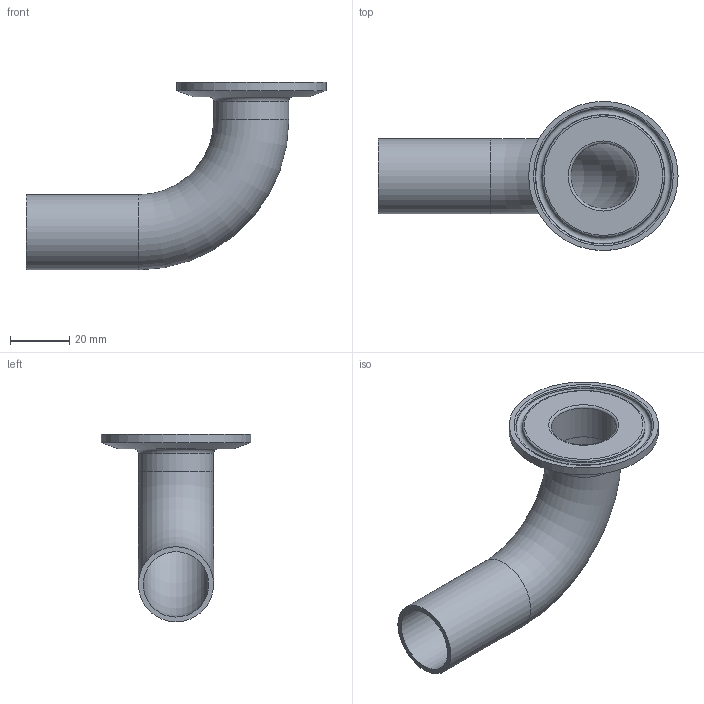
import cadquery as cq
import math


tube_radius = 12.7
wall = 1.65
bore_radius = tube_radius - wall
bend_radius = 38.1
straight_length = 38.1

ferrule_length = 12.7
joint_z = bend_radius
face_z = joint_z + ferrule_length
flange_radius = 25.25
rim_thickness = 2.85
flange_thickness = 5.0
cone_angle = math.radians(20)
cone_foot_radius = flange_radius - (flange_thickness - rim_thickness) / math.tan(cone_angle)
neck_fillet = 1.5
bore_edge_fillet = 0.8

groove_radius = 21.85
groove_depth = 1.75
groove_bottom_radius = 1.1
groove_lip_radius = 0.6
groove_wall_angle = math.radians(75)


def make_elbow():
    """Straight leg along X followed by a quarter bend up to the ferrule joint."""
    path = (
        cq.Workplane("XZ")
        .moveTo(-bend_radius - straight_length, 0)
        .lineTo(-bend_radius, 0)
        .radiusArc((0, bend_radius), -bend_radius)
    )
    start = cq.Workplane("YZ", origin=(-bend_radius - straight_length, 0, 0))
    return start.circle(tube_radius).circle(bore_radius).sweep(path)


def make_ferrule_blank():
    """Neck and coned flange, revolved about Z, with the neck and bore edges rounded."""
    rim_z = face_z - rim_thickness
    foot_z = face_z - flange_thickness
    diagonal = math.sqrt(0.5)
    neck_fillet_radius = tube_radius + neck_fillet
    neck_fillet_z = foot_z - neck_fillet
    bore_fillet_radius = bore_radius + bore_edge_fillet
    bore_fillet_z = face_z - bore_edge_fillet
    neck_mid = (
        neck_fillet_radius - neck_fillet * diagonal,
        neck_fillet_z + neck_fillet * diagonal,
    )
    bore_mid = (
        bore_fillet_radius - bore_edge_fillet * diagonal,
        bore_fillet_z + bore_edge_fillet * diagonal,
    )
    return (
        cq.Workplane("XZ")
        .moveTo(bore_radius, joint_z)
        .lineTo(tube_radius, joint_z)
        .lineTo(tube_radius, neck_fillet_z)
        .threePointArc(neck_mid, (neck_fillet_radius, foot_z))
        .lineTo(cone_foot_radius, foot_z)
        .lineTo(flange_radius, rim_z)
        .lineTo(flange_radius, face_z)
        .lineTo(bore_fillet_radius, face_z)
        .threePointArc(bore_mid, (bore_radius, bore_fillet_z))
        .close()
        .revolve(360, (0, 0, 0), (0, 1, 0))
    )


def make_groove():
    """Ring to cut: round bottom, steep walls and rounded lips meeting the face."""
    bottom_half = groove_bottom_radius * math.sin(groove_wall_angle)
    bottom_depth = groove_depth - groove_bottom_radius * (1 - math.cos(groove_wall_angle))
    mouth_half = bottom_half + bottom_depth / math.tan(groove_wall_angle)
    lip_half = mouth_half + groove_lip_radius * math.tan(groove_wall_angle / 2)

    def groove_point(side, half_width, depth):
        return (groove_radius + side * half_width, face_z - depth)

    def lip_point(side, angle):
        half_width = lip_half - groove_lip_radius * math.sin(angle)
        depth = groove_lip_radius * (1 - math.cos(angle))
        return groove_point(side, half_width, depth)

    inner, outer = -1, 1
    half_angle = groove_wall_angle / 2
    return (
        cq.Workplane("XZ")
        .moveTo(*lip_point(inner, 0))
        .threePointArc(lip_point(inner, half_angle), lip_point(inner, groove_wall_angle))
        .lineTo(*groove_point(inner, bottom_half, bottom_depth))
        .threePointArc(
            groove_point(inner, 0, groove_depth),
            groove_point(outer, bottom_half, bottom_depth),
        )
        .lineTo(*lip_point(outer, groove_wall_angle))
        .threePointArc(lip_point(outer, half_angle), lip_point(outer, 0))
        .close()
        .revolve(360, (0, 0, 0), (0, 1, 0))
    )


elbow = make_elbow()
ferrule = make_ferrule_blank().cut(make_groove())

result = cq.Compound.makeCompound([elbow.val(), ferrule.val()])